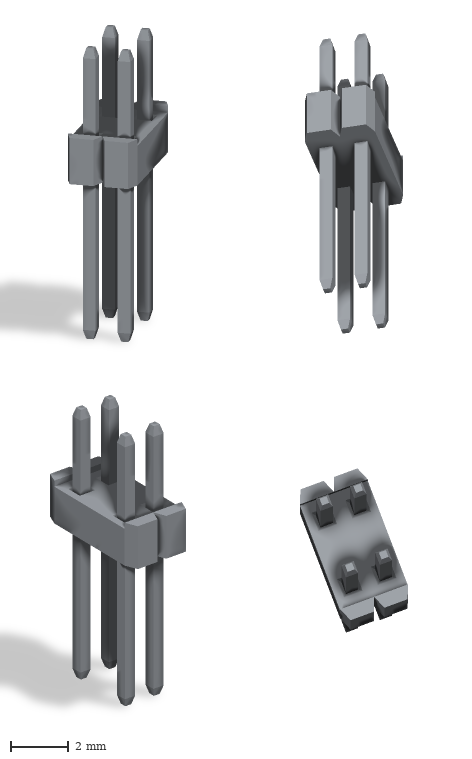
import cadquery as cq

pitch_x = 1.27
pitch_y = 2.54
columns = 2
rows = 2

body_width = columns * pitch_x
body_length = 5.0
body_height = 1.7
lug_depth = 0.495
lug_taper = 0.2
deck_length = body_length - 2 * lug_depth
deck_height = 1.46

pin_width = 0.46
pin_tip_width = 0.26
pin_tip_length = 0.35
pin_above_body = 3.0
pin_below_body = 6.0
pin_top = body_height + pin_above_body
pin_bottom = -pin_below_body

recess_width = 0.7
recess_depth = (recess_width - pin_width) / 2


def centered_positions(count, pitch):
    """Evenly spaced coordinates centred on zero."""
    return [(i - (count - 1) / 2) * pitch for i in range(count)]


def square_frustum(x, y, z_start, start_width, z_end, end_width):
    """Square column, upright at (x, y), whose width changes between two heights."""
    return (
        cq.Workplane("XY", origin=(x, y, z_start))
        .rect(start_width, start_width)
        .workplane(offset=z_end - z_start)
        .rect(end_width, end_width)
        .loft(ruled=True)
    )


def make_lug(x, end):
    """Trapezoidal end lug of one column; end is +1 or -1 along Y."""
    inner_y = end * deck_length / 2
    outer_y = end * body_length / 2
    half_base = pitch_x / 2
    half_tip = half_base - lug_taper
    outline = [
        (x - half_base, inner_y),
        (x + half_base, inner_y),
        (x + half_tip, outer_y),
        (x - half_tip, outer_y),
    ]
    return cq.Workplane("XY").polyline(outline).close().extrude(body_height)


def make_pin(x, y):
    """Full-length pin with a tapered tip at each end."""
    shaft_top = pin_top - pin_tip_length
    shaft_bottom = pin_bottom + pin_tip_length
    shaft = square_frustum(x, y, shaft_bottom, pin_width, shaft_top, pin_width)
    top_tip = square_frustum(x, y, shaft_top, pin_width, pin_top, pin_tip_width)
    bottom_tip = square_frustum(x, y, pin_bottom, pin_tip_width, shaft_bottom, pin_width)
    return shaft.union(top_tip).union(bottom_tip)


def make_recess(x, y):
    """Cutter for the lead-in that narrows down to the pin."""
    return square_frustum(x, y, deck_height - recess_depth, pin_width, deck_height, recess_width)


column_positions = centered_positions(columns, pitch_x)
row_positions = centered_positions(rows, pitch_y)

result = cq.Workplane("XY").box(body_width, deck_length, deck_height, centered=(True, True, False))
for column_x in column_positions:
    for lug_end in (-1, 1):
        result = result.union(make_lug(column_x, lug_end))

for column_x in column_positions:
    for row_y in row_positions:
        result = result.cut(make_recess(column_x, row_y))
        result = result.union(make_pin(column_x, row_y))